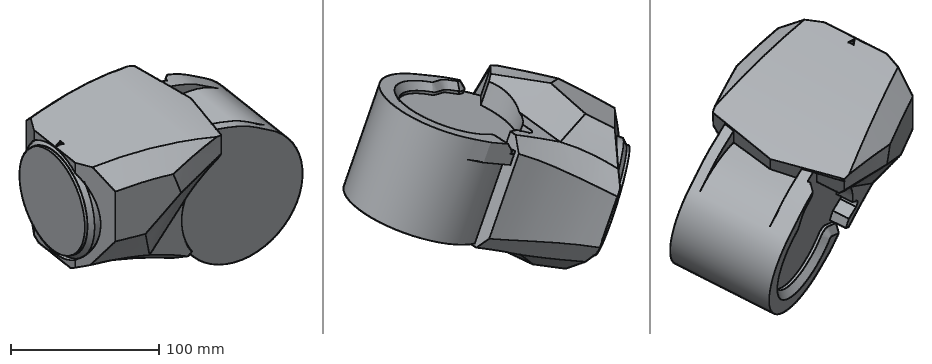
import cadquery as cq
import math


ring_radius = 85.35 / 2
ring_chamfer = 3.4
ring_depth = 20.0
disc_radius = 78.0 / 2
disc_height = 2.15

front_half_width = 24.6
front_corner_x = 53.14
front_corner_y = 13.2
side_slope = math.tan(math.radians(10))
back_apex_y = 111.7
back_slope = 0.2075
top_radius = 270.0
top_z = 47.95
top_mid_y = 49.7
bottom_front_z = -44.6
bottom_mid = (44.0, -48.6)
bottom_back = (74.4, -57.1)
lower_back = (90.0, -43.4)
head_chamfer = 14.7
flat_x = ring_radius

beyond = 90.0

arm_left = -37.25
arm_right = arm_left + 78.07
hub_radius = 51.2
hub_y = 124.03
hub_z = -21.57
left_flange_width = 15.3
right_flange_width = 7.8
flange_tangent_y = 148.6
flange_crest = (126.0, 35.1)
flange_end = (100.0, 41.4)
flange_end_direction = (-1.0, 0.25)
lower_flange_tangent_z = -70.0
lower_flange_bend = (96.0, -66.4)
lower_flange_end = (77.0, -54.9)

floor_x = -30.05
pocket_radius = 35.4
pocket_rim_chamfer = 5.0
clearance_radius = 49.3
clearance_y = 100.7
pocket_top_z = 40.0

upper_corner_start = (112.85, 38.5)
upper_corner_end = (116.5, 29.7)
upper_bend_start = (124.6, 25.9)
upper_bend_mid = (126.6, 24.5)
upper_bend_end = (128.1, 22.5)
upper_join_start = (132.2, 15.6)
upper_join_mid = (133.6, 13.6)
upper_join_angle = 71.2
pocket_far_angle = -30.0
lower_join_angle = -135.6
lower_bump_top = (94.1, -44.8)
lower_bump_end = (89.0, -47.2)
slot_mouth_arm = (75.0, -60.1)
slot_mouth_head = (72.0, -60.1)
slot_tip = (83.8, -48.3)
notch_start = (79.8, -41.8)
notch_arc_start = (70.3, -39.6)
notch_arc_mid = (68.3, -35.9)
notch_arc_end = (70.6, -32.1)
notch_neck = (75.7, -27.4)

arrow_half_width = 2.1
arrow_tip_y = 1.2
arrow_base_y = 6.0
arrow_depth = 0.5


def side_x(y):
    """X of the flat -X side of the head at a given Y."""
    return -(front_corner_x + (y - front_corner_y) * side_slope)


def top_height(y):
    """Z of the arched top of the head at a given Y."""
    return top_z - top_radius + math.sqrt(top_radius**2 - (y - top_mid_y) ** 2)


def hub_point(radius, angle):
    """(Y, Z) on a circle about the hub axis, with the angle in degrees from +Y."""
    turn = math.radians(angle)
    return (hub_y + radius * math.cos(turn), hub_z + radius * math.sin(turn))


def hub_angle(point):
    """Angle in degrees from +Y of a (Y, Z) point seen from the hub axis."""
    return math.degrees(math.atan2(point[1] - hub_z, point[0] - hub_y))


def slab(outline, x_start, x_end):
    """Prism along X between two X positions from a closed (Y, Z) outline."""
    return outline.extrude(x_end - x_start).translate((x_start, 0, 0))


def along(start, end, ratio):
    """Point on the line from start through end; a ratio above 1 lies past end."""
    return tuple(s + (e - s) * ratio for s, e in zip(start, end))


def outside(near_edge, far_edge):
    """Everything beyond the ruled patch between two edges, swept out along -X."""
    patch = cq.Face.makeRuledSurface(near_edge, far_edge)
    return cq.Workplane(obj=cq.Solid.extrudeLinear(patch, cq.Vector(-beyond, 0, 0)))


def line(start, end):
    """Straight edge between two points."""
    return cq.Edge.makeLine(cq.Vector(*start), cq.Vector(*end))


def curve(points):
    """Smooth edge through the points."""
    return cq.Edge.makeSpline([cq.Vector(*point) for point in points])


def make_head_blank():
    """Arched block with tapered sides, chamfered upper edges, pointed back and bevelled front."""
    back_z = top_height(back_apex_y)
    profile = (
        cq.Workplane("YZ")
        .moveTo(0, bottom_front_z)
        .lineTo(0, top_height(0))
        .threePointArc((top_mid_y, top_z), (back_apex_y, back_z))
        .lineTo(back_apex_y, lower_back[1])
        .lineTo(*lower_back)
        .lineTo(*bottom_back)
        .threePointArc(bottom_mid, (0, bottom_front_z))
        .close()
    )
    front_x = side_x(0)
    back_x = side_x(back_apex_y)
    taper = (
        cq.Workplane("XY")
        .polyline([(front_x, 0), (-front_x, 0), (-back_x, back_apex_y), (back_x, back_apex_y)])
        .close()
        .extrude(2 * beyond)
        .translate((0, 0, -beyond))
    )
    block = slab(profile, -beyond, beyond).intersect(taper)
    block = block.faces(">Z").edges("not |X").chamfer(head_chamfer)
    front_slope = front_corner_y / (front_corner_x - front_half_width)
    bevel_y = (beyond - front_half_width) * front_slope
    plan = (
        cq.Workplane("XY")
        .moveTo(-front_half_width, 0)
        .lineTo(front_half_width, 0)
        .lineTo(beyond, bevel_y)
        .lineTo(beyond, back_apex_y - beyond * back_slope)
        .lineTo(0, back_apex_y)
        .lineTo(-beyond, back_apex_y - beyond * back_slope)
        .lineTo(-beyond, bevel_y)
        .close()
        .extrude(2 * beyond)
        .translate((0, 0, -beyond))
    )
    return block.intersect(plan)


def head_facets():
    """Cutters that carve the facets on the -X side of the head."""
    brow = (side_x(55.5), 55.5, 33.3)
    cheek = (side_x(61.3), 61.3, 16.4)
    jaw = (side_x(35.2), 35.2, -9.6)
    jaw_front = (-front_corner_x, front_corner_y, -9.6)
    brow_back = (-53.2, 95.0, 43.7)
    cheek_back = (-51.5, 100.7, 27.5)
    neck = (-flat_x, 77.0, -5.8)
    neck_back = (-37.0, 104.0, 8.0)
    chin = (-flat_x, 48.4, -39.2)
    chin_front = (-34.7, 4.66, -36.0)
    chin_back = (-flat_x, 79.8, -52.8)

    ridge = [chin_front, (-39.0, 27.1, -36.3), chin, chin_back]
    keel = [(-20.8, 0.0, -44.6), (-23.9, 27.1, -46.2), (-28.0, 47.4, -49.4), (-32.5, 74.4, -57.1)]

    past = 1.4
    brow_past = 2.0
    keel_past = 1.25
    cheek_far = along(cheek, cheek_back, past)
    neck_far = along(neck, neck_back, past)
    brow_high = along(cheek, brow, brow_past)
    brow_far = along(brow_high, along(cheek_back, brow_back, brow_past), past)
    for edge in (ridge, keel):
        edge[0] = along(edge[1], edge[0], past)
        edge[-1] = along(edge[-2], edge[-1], keel_past)
    ridge_high = [along(low, high, keel_past) for low, high in zip(keel, ridge)]
    keel_low = [along(high, low, past) for low, high in zip(keel, ridge)]

    upper_back = outside(line(brow_high, brow_far), line(cheek, cheek_far))
    lower_back_front = outside(line(cheek, jaw), line(neck, chin))
    lower_back_rear = outside(line(cheek, cheek_far), line(neck, neck_far))
    lower_side = outside(
        line(jaw, along(jaw, jaw_front, past)), line(chin, along(chin, chin_front, past))
    )
    keel_side = outside(curve(ridge_high), curve(keel_low))
    flat = slab(
        cq.Workplane("YZ")
        .polyline([chin[1:], neck[1:], neck_far[1:], (beyond * 2, -beyond), (chin[1], -beyond)])
        .close(),
        -beyond,
        -flat_x,
    )
    return [upper_back, lower_back_front, lower_back_rear, lower_side, keel_side, flat]


def make_head():
    """Head with its facets carved on both sides."""
    head = make_head_blank()
    for cutter in head_facets():
        head = head.cut(cutter).cut(cutter.mirror("YZ"))
    return head


def upper_flange(x_start, x_end):
    """Flange on top of the hub that leaves it tangentially and flattens towards the head."""
    angle = math.acos((flange_tangent_y - hub_y) / hub_radius)
    outline = (
        cq.Workplane("YZ")
        .moveTo(*hub_point(hub_radius, math.degrees(angle)))
        .spline(
            [flange_crest, flange_end],
            tangents=[(-math.sin(angle), math.cos(angle)), flange_end_direction],
            includeCurrent=True,
        )
        .lineTo(flange_end[0], hub_z)
        .lineTo(hub_y, hub_z)
        .close()
    )
    return slab(outline, x_start, x_end)


def lower_flange(x_start, x_end):
    """Flange under the hub with a straight underside bent once before it meets the head."""
    angle = -180 - math.degrees(math.asin((lower_flange_tangent_z - hub_z) / hub_radius))
    outline = (
        cq.Workplane("YZ")
        .moveTo(hub_y, hub_z)
        .lineTo(*hub_point(hub_radius, angle))
        .lineTo(*lower_flange_bend)
        .lineTo(*lower_flange_end)
        .lineTo(lower_back[0], hub_z)
        .close()
    )
    return slab(outline, x_start, x_end)


def make_arm():
    """Hub cylinder with flanges at its ends that run up to the head."""
    hub = slab(cq.Workplane("YZ").center(hub_y, hub_z).circle(hub_radius), arm_left, arm_right)
    left_end = arm_left + left_flange_width
    arm = hub.union(upper_flange(arm_left, left_end)).union(lower_flange(arm_left, left_end))
    return arm.union(upper_flange(arm_right - right_flange_width, arm_right))


def pocket_outline(opening_z):
    """Floor outline of the cover pocket, open at the top and at the lower slot."""
    neck_angle = hub_angle(notch_neck)
    top_angle = math.degrees(math.acos((clearance_y - hub_y) / clearance_radius))
    return (
        cq.Workplane("YZ")
        .moveTo(clearance_y, opening_z)
        .lineTo(upper_corner_start[0], opening_z)
        .lineTo(*upper_corner_start)
        .tangentArcPoint(upper_corner_end, relative=False)
        .lineTo(*upper_bend_start)
        .threePointArc(upper_bend_mid, upper_bend_end)
        .lineTo(*upper_join_start)
        .threePointArc(upper_join_mid, hub_point(pocket_radius, upper_join_angle))
        .threePointArc(
            hub_point(pocket_radius, pocket_far_angle), hub_point(pocket_radius, lower_join_angle)
        )
        .threePointArc(lower_bump_top, lower_bump_end)
        .lineTo(*slot_mouth_arm)
        .lineTo(*slot_mouth_head)
        .lineTo(*slot_tip)
        .lineTo(*notch_start)
        .lineTo(*notch_arc_start)
        .threePointArc(notch_arc_mid, notch_arc_end)
        .lineTo(*hub_point(clearance_radius, neck_angle))
        .threePointArc(
            hub_point(clearance_radius, (neck_angle % 360 + top_angle) / 2),
            hub_point(clearance_radius, top_angle),
        )
        .close()
    )


def cut_pocket_bevel(arm):
    """Pocket through the arm with a 45 degree bevel along its rim."""
    bevel_start = arm_left + pocket_rim_chamfer
    bevel = pocket_outline(beyond).extrude(-pocket_rim_chamfer, taper=-45)
    bevel = bevel.translate((bevel_start, 0, 0))
    arm = arm.cut(slab(pocket_outline(beyond), -beyond, floor_x))
    return arm.cut(bevel)


def cut_right_clearance(body):
    """Head material cut back level with the +X end of the arm around the hub."""
    sweep = slab(
        cq.Workplane("YZ").center(hub_y, hub_z).circle(clearance_radius), arm_right, beyond
    )
    return body.cut(sweep)


def add_ring(body):
    """Bevelled ring and disc that turn about the Y axis."""
    seat = cq.Workplane("XZ").circle(ring_radius).extrude(-ring_chamfer)
    ring = (
        cq.Workplane("XZ")
        .circle(ring_radius)
        .extrude(-ring_depth)
        .faces("<Y")
        .chamfer(ring_chamfer)
    )
    disc = cq.Workplane("XZ").circle(disc_radius).extrude(disc_height)
    disc = disc.union(cq.Workplane("XZ").circle(disc_radius).extrude(-ring_depth))
    return body.cut(seat).union(ring).union(disc)


def cut_arrow(body):
    """Shallow arrow pointing at the ring."""
    tip_z = top_height(arrow_tip_y) - arrow_depth
    arrow = (
        cq.Workplane("XY", origin=(0, 0, tip_z))
        .polyline([(-arrow_half_width, arrow_base_y), (arrow_half_width, arrow_base_y),
                   (0, arrow_tip_y)])
        .close()
        .extrude(beyond)
    )
    return body.cut(arrow)


arm = cut_pocket_bevel(make_arm())
body = make_head().union(arm).cut(slab(pocket_outline(pocket_top_z), -beyond, floor_x))
result = cut_arrow(add_ring(cut_right_clearance(body)))